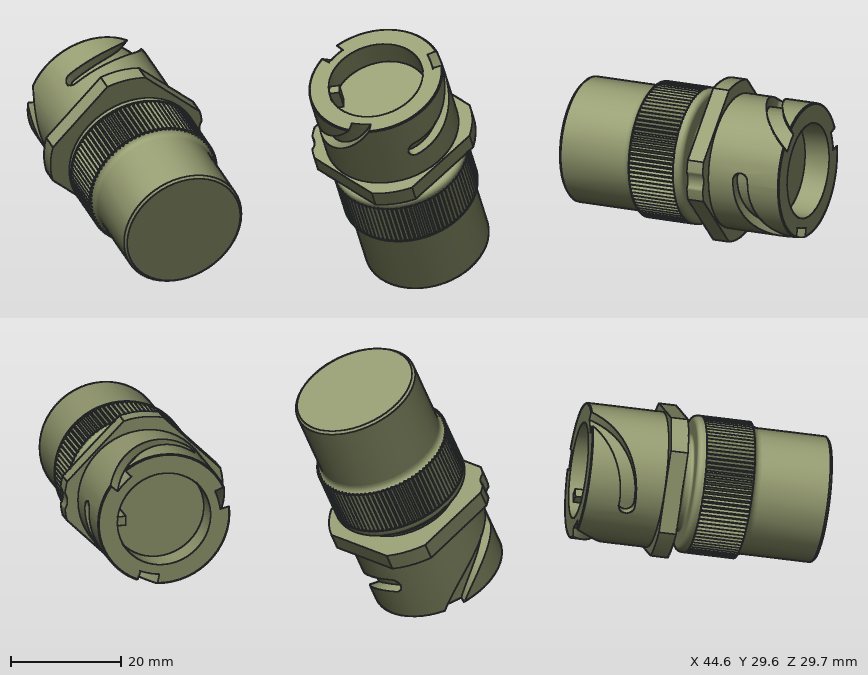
import cadquery as cq
import math

length = 44.6

cut_margin = 0.45

barrel_radius = 12.35
barrel_edge_chamfer = 0.2
bore_radius = 8.75
bore_depth = 4.8

key_setback = 0.85
key_height = 1.85
key_width = 1.7

flange_start = 14.1
flange_end = 17.25
flange_radius = 14.85
flange_across_flats = 25.6
notch_radius = 2.68
notch_depth = 0.55
notch_lip_radius = 0.65

shoulder_radius = 9.5
shoulder_end = 17.7
neck_radius = 8.55
front_neck_fillet = shoulder_radius - neck_radius
rear_neck_fillet = 0.55

collar_start = 19.6
collar_radius = 12.5
collar_rounding = 1.03
knurl_start = 21.2
knurl_end = 30.1
knurl_depth = 0.5
tooth_count = 90
first_tooth_angle = 1.0

sleeve_radius = 11.5
sleeve_start = 31.5
sleeve_chamfer = 0.45

slot_count = 3
slot_width = 2.95
slot_floor_radius = 10.53
slot_end_x = 7.7
slot_end_angle = 122.0
slot_sweep = 77.5
slot_facets = 25
slot_overrun_angle = math.radians(2)
cutter_radius = barrel_radius + cut_margin


def diagonal_arc_point(center, radius, direction_x, direction_r):
    """Middle point of a quarter arc, on the diagonal given by two signs."""
    reach = radius * math.sqrt(0.5)
    return (center[0] + direction_x * reach, center[1] + direction_r * reach)


def turned_body():
    """Revolve the half profile, drawn as (x, radius), about the X axis."""
    front_fillet_center = (shoulder_end + front_neck_fillet, shoulder_radius)
    rear_fillet_center = (collar_start - rear_neck_fillet, neck_radius + rear_neck_fillet)
    rounding_center = (collar_start + collar_rounding, collar_radius - collar_rounding)
    blend_run = sleeve_start - knurl_end
    blend_rise = collar_radius - sleeve_radius
    blend_radius = (blend_run**2 + blend_rise**2) / (2 * blend_rise)
    half_blend_angle = math.asin(blend_run / blend_radius) / 2
    blend_middle = (
        sleeve_start - blend_radius * math.sin(half_blend_angle),
        sleeve_radius + blend_radius * (1 - math.cos(half_blend_angle)),
    )
    profile = (
        cq.Workplane("XY")
        .moveTo(0, 0)
        .lineTo(0, barrel_radius - barrel_edge_chamfer)
        .lineTo(barrel_edge_chamfer, barrel_radius)
        .lineTo(flange_end, barrel_radius)
        .lineTo(flange_end, shoulder_radius)
        .lineTo(shoulder_end, shoulder_radius)
        .threePointArc(
            diagonal_arc_point(front_fillet_center, front_neck_fillet, -1, -1),
            (front_fillet_center[0], neck_radius),
        )
        .lineTo(rear_fillet_center[0], neck_radius)
        .threePointArc(
            diagonal_arc_point(rear_fillet_center, rear_neck_fillet, 1, -1),
            (collar_start, rear_fillet_center[1]),
        )
        .lineTo(collar_start, rounding_center[1])
        .threePointArc(
            diagonal_arc_point(rounding_center, collar_rounding, -1, 1),
            (rounding_center[0], collar_radius),
        )
        .lineTo(knurl_end, collar_radius)
        .threePointArc(blend_middle, (sleeve_start, sleeve_radius))
        .lineTo(length - sleeve_chamfer, sleeve_radius)
        .lineTo(length, sleeve_radius - sleeve_chamfer)
        .lineTo(length, 0)
        .close()
    )
    return profile.revolve(360, (0, 0, 0), (1, 0, 0))


def flange():
    """Square standing on its corner, trimmed by a circle, with a notch in the +Y corner."""
    thickness = flange_end - flange_start
    plane = cq.Workplane("YZ", origin=(flange_start, 0, 0))
    square = (
        plane.rect(flange_across_flats, flange_across_flats)
        .extrude(thickness)
        .rotate((0, 0, 0), (1, 0, 0), 45)
    )
    plate = plane.circle(flange_radius).extrude(thickness).intersect(square)
    notch_center = flange_radius - notch_depth + notch_radius
    notch = plane.center(notch_center, 0).circle(notch_radius).extrude(thickness)
    lips = cq.selectors.BoxSelector(
        (flange_start, flange_radius - notch_depth, -notch_radius),
        (flange_end, flange_radius, notch_radius),
    )
    return plate.cut(notch).edges("|X").edges(lips).fillet(notch_lip_radius)


def knurl_cutter():
    """Ring that leaves sharp V teeth when removed from the collar."""
    root_radius = collar_radius - knurl_depth
    pitch = 2 * math.pi / tooth_count
    outline = []
    for tooth in range(tooth_count):
        peak_angle = math.radians(first_tooth_angle) + tooth * pitch
        root_angle = peak_angle + pitch / 2
        outline.append((collar_radius * math.cos(peak_angle), collar_radius * math.sin(peak_angle)))
        outline.append((root_radius * math.cos(root_angle), root_radius * math.sin(root_angle)))
    plane = cq.Workplane("YZ", origin=(knurl_start, 0, 0))
    width = knurl_end - knurl_start
    teeth = plane.polyline(outline).close().extrude(width)
    return plane.circle(collar_radius + cut_margin).extrude(width).cut(teeth)


def slot_cutter():
    """One bayonet slot, from the mating face to its round end at +Y, before it is turned into place."""
    run = barrel_radius * math.radians(slot_sweep)
    arc_radius = (run**2 + slot_end_x**2) / (2 * slot_end_x)
    arc_center_x = slot_end_x - arc_radius
    half_width = slot_width / 2
    last_arc_angle = math.acos(-arc_center_x / (arc_radius + half_width)) + slot_overrun_angle

    def section_corner(arc_angle, offset, height):
        """Corner of the flat cross section: an offset across the slot and a height from the X axis."""
        around = -arc_radius * math.sin(arc_angle) / barrel_radius
        sideways = -offset * math.sin(arc_angle)
        return cq.Vector(
            arc_center_x + (arc_radius + offset) * math.cos(arc_angle),
            height * math.cos(around) - sideways * math.sin(around),
            height * math.sin(around) + sideways * math.cos(around),
        )

    sections = []
    for facet in range(slot_facets, -1, -1):
        arc_angle = last_arc_angle * facet / slot_facets
        corners = [
            section_corner(arc_angle, -half_width, slot_floor_radius),
            section_corner(arc_angle, half_width, slot_floor_radius),
            section_corner(arc_angle, half_width, cutter_radius),
            section_corner(arc_angle, -half_width, cutter_radius),
        ]
        sections.append(cq.Wire.makePolygon(corners, close=True))
    channel = cq.Workplane(cq.Solid.makeLoft(sections, True))
    round_end = (
        cq.Workplane("XZ", origin=(slot_end_x, slot_floor_radius, 0))
        .circle(slot_width / 2)
        .extrude(slot_floor_radius - cutter_radius)
    )
    return channel.union(round_end)


def key():
    """Rectangular key on the bore wall, standing on the bore floor."""
    overlap = 0.45
    key_length = bore_depth - key_setback + overlap
    block = cq.Workplane("XY").box(key_length, key_height + overlap, key_width, centered=(False, False, True))
    return block.translate((key_setback, bore_radius - key_height, 0))


result = turned_body().union(flange()).cut(knurl_cutter())

bore = cq.Workplane("YZ").circle(bore_radius).extrude(bore_depth)
result = result.cut(bore).union(key())

for index in range(slot_count):
    angle = slot_end_angle + index * 360 / slot_count
    result = result.cut(slot_cutter().rotate((0, 0, 0), (1, 0, 0), angle))